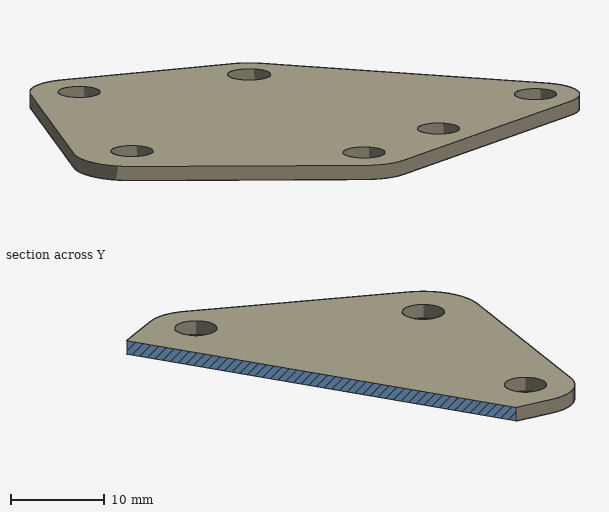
import cadquery as cq
import math

thickness = 1.6
hole_diameter = 4.5
shoulder_hole_diameter = 4.65

side_hole_spacing = 39.4
side_hole_height = 15.25
upper_right_hole_height = 27.9

bottom_radius = 6.35
side_radius = 5.3
top_radius = 4.75
shoulder_radius = 4.8

bottom = (0, 0)
right = (side_hole_spacing / 2, side_hole_height)
left = (-side_hole_spacing / 2, side_hole_height)
upper_right = (side_hole_spacing / 2, upper_right_hole_height)
top = (18.9, 45.45)
shoulder = (-10.05, 32.3)

corners = [
    (bottom, bottom_radius),
    (right, side_radius),
    (top, top_radius),
    (shoulder, shoulder_radius),
    (left, side_radius),
]


def tangent_angle(start, end):
    """Direction of the outward normal of the edge tangent to two corner circles."""
    (start_x, start_y), start_radius = start
    (end_x, end_y), end_radius = end
    dx = end_x - start_x
    dy = end_y - start_y
    return math.atan2(dy, dx) - math.acos((start_radius - end_radius) / math.hypot(dx, dy))


def point_on_corner(corner, angle):
    (x, y), radius = corner
    return (x + radius * math.cos(angle), y + radius * math.sin(angle))


def plate():
    """Extrude the outline of corner arcs and tangent edges."""
    count = len(corners)
    edge_angles = [tangent_angle(corners[i], corners[(i + 1) % count]) for i in range(count)]
    outline = cq.Workplane("XY").moveTo(*point_on_corner(corners[0], edge_angles[-1]))
    for i, corner in enumerate(corners):
        arc_start = edge_angles[i - 1]
        sweep = (edge_angles[i] - arc_start) % math.tau
        arc_middle = point_on_corner(corner, arc_start + sweep / 2)
        arc_end = point_on_corner(corner, edge_angles[i])
        outline = outline.threePointArc(arc_middle, arc_end)
        if i < count - 1:
            outline = outline.lineTo(*point_on_corner(corners[i + 1], edge_angles[i]))
    return outline.close().extrude(thickness)


def hole_cutters(centers, diameter):
    return cq.Workplane("XY").pushPoints(centers).circle(diameter / 2).extrude(thickness)


result = (
    plate()
    .cut(hole_cutters([bottom, right, upper_right, top, left], hole_diameter))
    .cut(hole_cutters([shoulder], shoulder_hole_diameter))
)